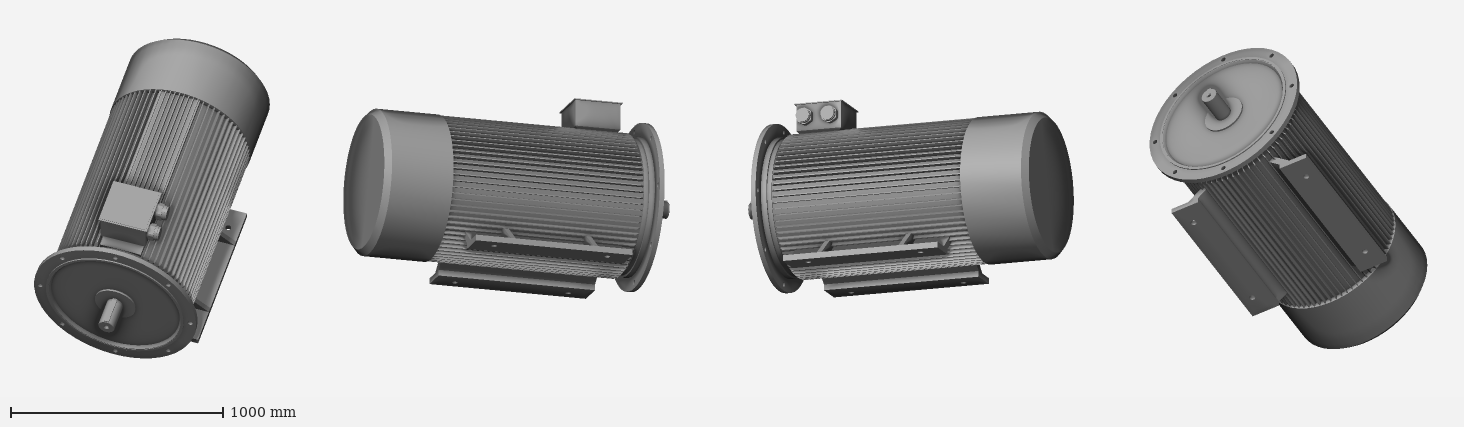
import cadquery as cq
import math


SHAFT_DIAMETER = 80
SHAFT_LENGTH = 140
SHAFT_CHAMFER = 2.5
KEY_WIDTH = 22
KEY_TOP = 45
CENTRE_BORE_DIAMETER = 17.29
CENTRE_SINK_DIAMETER = 28
CENTRE_BORE_DEPTH = 50

FLANGE_DIAMETER = 800
FLANGE_THICKNESS = 24
BOLT_CIRCLE = 740
BOLT_HOLE_DIAMETER = 24
BOLT_COUNT = 8
SPIGOT_DIAMETER = 680
SPIGOT_LENGTH = 6
RECESS_RIM_DIAMETER = 656
RECESS_MOUTH_DIAMETER = 650
RECESS_FLOOR_DIAMETER = 630
RECESS_STEP = 2
RECESS_DEPTH = 16
BOSS_DIAMETER = 200
BOSS_FRONT_Y = 1
NECK_DIAMETER = 650
SHIELD_DIAMETER = 670
SHIELD_FRONT_Y = 28
SHIELD_REAR_Y = 55
COLLAR_DIAMETER = 654
COLLAR_FRONT_Y = 59
COLLAR_REAR_Y = 78

CORE_RADIUS = 322
FIN_RADIUS = 345
FIN_THICKNESS = 5
FIN_PITCH_ANGLE = 5
FIN_FRONT_Y = 83
FIN_CHAMFER = 13
FRAME_REAR_Y = 1027

PAD_HALF_WIDTH = 100
PAD_TOP = 324
PAD_FRONT_Y = 86
PAD_FIN_PITCH = 22.6
PAD_FIN_COUNT = 9
PAD_FIN_FRONT_Y = 379

COWL_DIAMETER = 698
COWL_CHAMFER = 29
MOTOR_REAR_Y = 1360

BOX_WIDTH = 222
BOX_CENTRE_Y = 237
BOX_BOTTOM = 340
BOX_BOTTOM_CHAMFER = 12
LID_WIDTH = 238
LID_BOTTOM = 467
LID_RIM_TOP = 472
LID_TOP = 474

GLAND_OFFSET_Y = 62
GLAND_Z = 402
GLAND_DIAMETER = 69.61
GLAND_NUT_DIAMETER = 80
GLAND_NUT_FLATS = 74
GLAND_CAP_DIAMETER = 66
GLAND_NUT_START_X = 117.5
GLAND_NUT_END_X = 144
GLAND_RING_END_X = 158
GLAND_END_X = 167

SHAFT_HEIGHT = 355
FOOT_OUTER_X = 364
FOOT_INNER_X = 221
FOOT_THICKNESS = 28
FOOT_FRONT_Y = 147
FOOT_LENGTH = 773
FOOT_HOLE_DIAMETER = 28
FOOT_HOLE_X = 305
FOOT_HOLE_SPACING = 560
WEB_FOOT_X = 274
WEB_TOP_X = 185
WEB_TOP_Z = -254
GUSSET_TOP_X = 251
GUSSET_TOP_Z = -245
GUSSET_THICKNESS = 24
GUSSET_FRONT_Y = (317, 724)

OVERLAP = 20


def cylinder_y(diameter, front_y, rear_y):
    """Solid cylinder on the motor axis between two Y positions."""
    return cq.Workplane("XZ", origin=(0, front_y, 0)).circle(diameter / 2).extrude(front_y - rear_y)


def block(x_range, y_range, z_range):
    """Box given by its limits along each axis."""
    size = [high - low for low, high in (x_range, y_range, z_range)]
    corner = (x_range[0], y_range[0], z_range[0])
    return cq.Workplane("XY").box(*size, centered=False).translate(corner)


def turned_body():
    """Core, collar, shield, flange, recessed spigot and cowl as one revolved profile."""
    cowl_end_radius = COWL_DIAMETER / 2 - COWL_CHAMFER
    recess_floor_y = RECESS_DEPTH - SPIGOT_LENGTH
    profile = [
        (0, BOSS_FRONT_Y),
        (BOSS_DIAMETER / 2, BOSS_FRONT_Y),
        (BOSS_DIAMETER / 2, recess_floor_y),
        (RECESS_FLOOR_DIAMETER / 2, recess_floor_y),
        (RECESS_MOUTH_DIAMETER / 2, RECESS_STEP - SPIGOT_LENGTH),
        (RECESS_RIM_DIAMETER / 2, RECESS_STEP - SPIGOT_LENGTH),
        (RECESS_RIM_DIAMETER / 2, -SPIGOT_LENGTH),
        (SPIGOT_DIAMETER / 2, -SPIGOT_LENGTH),
        (SPIGOT_DIAMETER / 2, 0),
        (FLANGE_DIAMETER / 2, 0),
        (FLANGE_DIAMETER / 2, FLANGE_THICKNESS),
        (NECK_DIAMETER / 2, FLANGE_THICKNESS),
        (NECK_DIAMETER / 2, SHIELD_FRONT_Y),
        (SHIELD_DIAMETER / 2, SHIELD_FRONT_Y),
        (SHIELD_DIAMETER / 2, SHIELD_REAR_Y),
        (NECK_DIAMETER / 2, SHIELD_REAR_Y),
        (NECK_DIAMETER / 2, COLLAR_FRONT_Y),
        (COLLAR_DIAMETER / 2, COLLAR_FRONT_Y),
        (COLLAR_DIAMETER / 2, COLLAR_REAR_Y),
        (CORE_RADIUS, COLLAR_REAR_Y),
        (CORE_RADIUS, FRAME_REAR_Y),
        (COWL_DIAMETER / 2, FRAME_REAR_Y),
        (COWL_DIAMETER / 2, MOTOR_REAR_Y - COWL_CHAMFER),
        (cowl_end_radius, MOTOR_REAR_Y),
        (0, MOTOR_REAR_Y),
    ]
    return cq.Workplane("XY").polyline(profile).close().revolve(360, (0, 0, 0), (0, 1, 0))


def bolt_holes():
    """Through holes of the flange on their bolt circle, the first one on the +X axis."""
    return (
        cq.Workplane("XZ")
        .polarArray(BOLT_CIRCLE / 2, 0, 360, BOLT_COUNT)
        .circle(BOLT_HOLE_DIAMETER / 2)
        .extrude(-FLANGE_THICKNESS)
    )


def fin_blade(x, root, tip, front_y, chamfer):
    """Upright fin at the given X, with its front upper corner cut at 45 degrees."""
    outline = [
        (front_y, root),
        (front_y, tip - chamfer),
        (front_y + chamfer, tip),
        (FRAME_REAR_Y + OVERLAP, tip),
        (FRAME_REAR_Y + OVERLAP, root),
    ]
    blade = cq.Workplane("YZ").polyline(outline).close().extrude(FIN_THICKNESS / 2, both=True)
    return blade.translate((x, 0, 0))


def radial_fins():
    """Fins around the frame, leaving out the sector taken up by the flat pad."""
    pad_half_angle = math.degrees(math.asin(PAD_HALF_WIDTH / FIN_RADIUS))
    first = math.ceil(pad_half_angle / FIN_PITCH_ANGLE)
    last = 360 // FIN_PITCH_ANGLE - first
    blade = fin_blade(0, CORE_RADIUS - OVERLAP, FIN_RADIUS, FIN_FRONT_Y, FIN_CHAMFER)
    return [
        blade.rotate((0, 0, 0), (0, 1, 0), index * FIN_PITCH_ANGLE)
        for index in range(first, last + 1)
    ]


def pad_fins():
    """Parallel fins standing on the pad, their tips following the fin circle."""
    fins = []
    for index in range(PAD_FIN_COUNT):
        x = (index - (PAD_FIN_COUNT - 1) / 2) * PAD_FIN_PITCH
        tip = math.sqrt(FIN_RADIUS**2 - x**2)
        fins.append(fin_blade(x, PAD_TOP - OVERLAP, tip, PAD_FIN_FRONT_Y, tip - PAD_TOP))
    return fins


def pad():
    """Flat-topped block on the crown of the frame."""
    root = CORE_RADIUS - 2 * OVERLAP
    return block(
        (-PAD_HALF_WIDTH, PAD_HALF_WIDTH), (PAD_FRONT_Y, FRAME_REAR_Y + OVERLAP), (root, PAD_TOP)
    )


def square_block(width, bottom, top):
    """Square block centred on the terminal box."""
    half = width / 2
    return block((-half, half), (BOX_CENTRE_Y - half, BOX_CENTRE_Y + half), (bottom, top))


def terminal_box():
    """Box with a bevelled underside on a neck, closed by a lid with a raised top."""
    neck_width = BOX_WIDTH - 2 * BOX_BOTTOM_CHAMFER
    body = square_block(BOX_WIDTH, BOX_BOTTOM - BOX_BOTTOM_CHAMFER, LID_TOP)
    body = body.faces("<Z").chamfer(BOX_BOTTOM_CHAMFER)
    neck = square_block(neck_width, PAD_TOP - OVERLAP, BOX_BOTTOM)
    rim = square_block(LID_WIDTH, LID_BOTTOM, LID_RIM_TOP)
    return [body, neck, rim]


def cable_gland(y):
    """Round gland with a hexagon nut whose corners are turned off."""

    def section(start_x, end_x, diameter):
        plane = cq.Workplane("YZ", origin=(start_x, y, GLAND_Z))
        return plane.circle(diameter / 2).extrude(end_x - start_x)

    start_x = BOX_WIDTH / 2 - OVERLAP
    body = section(start_x, GLAND_RING_END_X, GLAND_DIAMETER)
    cap = section(start_x, GLAND_END_X, GLAND_CAP_DIAMETER)
    across_corners = GLAND_NUT_FLATS / math.cos(math.radians(30))
    hexagon = (
        cq.Workplane("YZ", origin=(GLAND_NUT_START_X, y, GLAND_Z))
        .polygon(6, across_corners)
        .extrude(GLAND_NUT_END_X - GLAND_NUT_START_X)
        .rotate((0, y, GLAND_Z), (1, y, GLAND_Z), 90)
    )
    nut = hexagon.intersect(section(GLAND_NUT_START_X, GLAND_NUT_END_X, GLAND_NUT_DIAMETER))
    return body.union(cap).union(nut)


def foot():
    """Foot on the -X side: base plate, sloping web, two gussets and two bolt holes."""
    plate_top = FOOT_THICKNESS - SHAFT_HEIGHT
    web_top_inner_x = WEB_TOP_X - (WEB_FOOT_X - FOOT_INNER_X)
    web_outline = [
        (-FOOT_OUTER_X, -SHAFT_HEIGHT),
        (-FOOT_INNER_X, -SHAFT_HEIGHT),
        (-FOOT_INNER_X, plate_top),
        (-web_top_inner_x, WEB_TOP_Z),
        (-WEB_TOP_X, WEB_TOP_Z),
        (-WEB_FOOT_X, plate_top),
        (-FOOT_OUTER_X, plate_top),
    ]
    gusset_outline = [
        (-FOOT_OUTER_X, plate_top),
        (-GUSSET_TOP_X, GUSSET_TOP_Z),
        (-WEB_TOP_X, GUSSET_TOP_Z),
        (-WEB_TOP_X, WEB_TOP_Z),
        (-WEB_FOOT_X, plate_top),
    ]

    def slab(outline, front_y, length):
        return cq.Workplane("XZ", origin=(0, front_y, 0)).polyline(outline).close().extrude(-length)

    body = slab(web_outline, FOOT_FRONT_Y, FOOT_LENGTH)
    for front_y in GUSSET_FRONT_Y:
        body = body.union(slab(gusset_outline, front_y, GUSSET_THICKNESS))
    middle_y = FOOT_FRONT_Y + FOOT_LENGTH / 2
    for side in (-1, 1):
        hole_y = middle_y + side * FOOT_HOLE_SPACING / 2
        hole = (
            cq.Workplane("XY", origin=(-FOOT_HOLE_X, hole_y, -SHAFT_HEIGHT))
            .circle(FOOT_HOLE_DIAMETER / 2)
            .extrude(FOOT_THICKNESS)
        )
        body = body.cut(hole)
    return body


def shaft():
    """Shaft end with chamfer, full-length key and countersunk centre hole."""
    body = cylinder_y(SHAFT_DIAMETER, -SHAFT_LENGTH, OVERLAP).faces("<Y").chamfer(SHAFT_CHAMFER)
    key = block(
        (-KEY_WIDTH / 2, KEY_WIDTH / 2), (SHAFT_CHAMFER - SHAFT_LENGTH, OVERLAP), (0, KEY_TOP)
    )
    bore = cylinder_y(CENTRE_BORE_DIAMETER, -SHAFT_LENGTH, CENTRE_BORE_DEPTH - SHAFT_LENGTH)
    sink_depth = (CENTRE_SINK_DIAMETER - CENTRE_BORE_DIAMETER) / 2
    sink = cq.Workplane(
        cq.Solid.makeCone(
            CENTRE_SINK_DIAMETER / 2,
            CENTRE_BORE_DIAMETER / 2,
            sink_depth,
            cq.Vector(0, -SHAFT_LENGTH, 0),
            cq.Vector(0, 1, 0),
        )
    )
    return body.union(key).cut(bore).cut(sink)


left_foot = foot()
parts = [pad(), left_foot, left_foot.mirror("YZ"), shaft()]
parts += radial_fins()
parts += pad_fins()
parts += terminal_box()
parts += [cable_gland(BOX_CENTRE_Y + side * GLAND_OFFSET_Y) for side in (-1, 1)]

motor = turned_body().cut(bolt_holes())
joined = motor.val().fuse(*[part.val() for part in parts])
result = cq.Workplane(joined.Solids()[0])